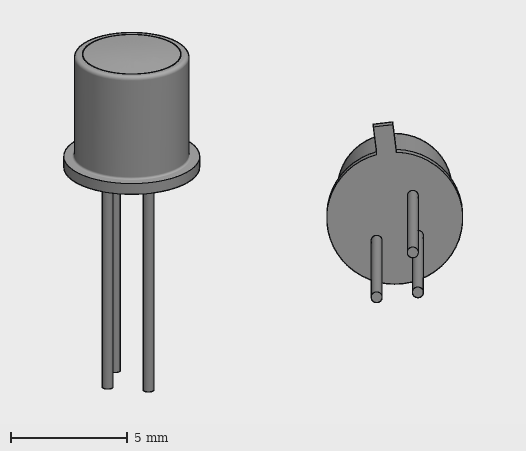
import cadquery as cq

LEAD_DIAMETER = 0.48
LEAD_LENGTH = 10.01
LEAD_CIRCLE_RADIUS = 1.26

FLANGE_DIAMETER = 5.85
FLANGE_THICKNESS = 0.51
TAB_WIDTH = 0.85
TAB_REACH = 4.13
TAB_ANGLE = 135.0

TOTAL_HEIGHT = 15.4
CAN_DIAMETER = 4.95
CAN_TOP_FILLET = 0.17
CAN_FOOT_FILLET = 0.1

RECESS_DIAMETER = 4.25
WINDOW_DIAMETER = 4.2
WINDOW_EDGE_THICKNESS = 0.46
WINDOW_CROWN = 0.1

FLANGE_TOP = LEAD_LENGTH + FLANGE_THICKNESS
CAN_TOP = TOTAL_HEIGHT - WINDOW_CROWN
RECESS_FLOOR = CAN_TOP - WINDOW_EDGE_THICKNESS


def cylinder(diameter, bottom, top):
    """Upright cylinder on the can axis."""
    return cq.Workplane("XY").workplane(offset=bottom).circle(diameter / 2).extrude(top - bottom)


def make_can():
    """Flange and can, filleted at the foot and at the top edge."""
    flange = cylinder(FLANGE_DIAMETER, LEAD_LENGTH, FLANGE_TOP)
    can = cylinder(CAN_DIAMETER, FLANGE_TOP, CAN_TOP).faces(">Z").edges().fillet(CAN_TOP_FILLET)
    foot_radius = CAN_DIAMETER / 2
    foot = (
        cq.Workplane("XZ")
        .moveTo(0, FLANGE_TOP)
        .lineTo(foot_radius + CAN_FOOT_FILLET, FLANGE_TOP)
        .radiusArc((foot_radius, FLANGE_TOP + CAN_FOOT_FILLET), CAN_FOOT_FILLET)
        .lineTo(0, FLANGE_TOP + CAN_FOOT_FILLET)
        .close()
        .revolve(360, (0, 0, 0), (0, 1, 0))
    )
    return flange.union(can).union(foot)


def make_tab():
    """Flat locating tab, level with the flange, pointing out diagonally."""
    return (
        cq.Workplane("XY")
        .workplane(offset=LEAD_LENGTH)
        .rect(TAB_REACH, TAB_WIDTH)
        .extrude(FLANGE_THICKNESS)
        .translate((TAB_REACH / 2, 0, 0))
        .rotate((0, 0, 0), (0, 0, 1), TAB_ANGLE)
    )


def make_leads():
    """Three straight leads below the flange, a quarter turn apart."""
    positions = [(-LEAD_CIRCLE_RADIUS, 0), (0, -LEAD_CIRCLE_RADIUS), (LEAD_CIRCLE_RADIUS, 0)]
    return cq.Workplane("XY").pushPoints(positions).circle(LEAD_DIAMETER / 2).extrude(LEAD_LENGTH)


def make_housing():
    """Can, tab and leads in one piece, with the window recess cut in the top."""
    recess = cylinder(RECESS_DIAMETER, RECESS_FLOOR, CAN_TOP)
    return make_can().union(make_tab()).union(make_leads()).cut(recess)


def make_window():
    """Round window with a shallow domed top, resting on the recess floor."""
    radius = WINDOW_DIAMETER / 2
    dome_radius = (radius**2 + WINDOW_CROWN**2) / (2 * WINDOW_CROWN)
    return (
        cq.Workplane("XZ")
        .moveTo(0, RECESS_FLOOR)
        .lineTo(radius, RECESS_FLOOR)
        .lineTo(radius, CAN_TOP)
        .radiusArc((0, TOTAL_HEIGHT), -dome_radius)
        .close()
        .revolve(360, (0, 0, 0), (0, 1, 0))
    )


housing = make_housing()
window = make_window()

result = cq.Compound.makeCompound([housing.val(), window.val()])